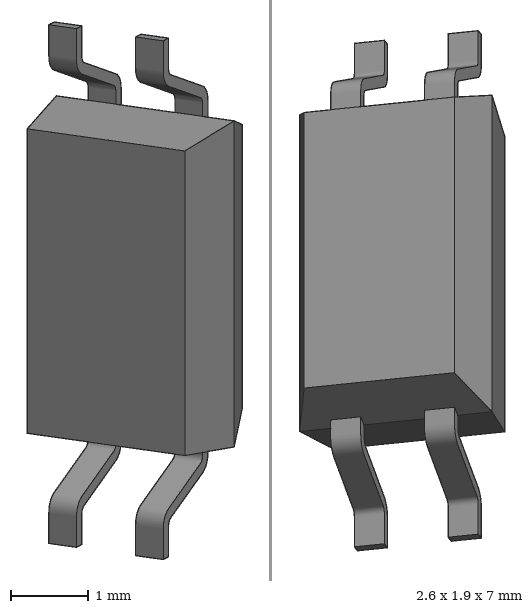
import cadquery as cq
import math

BODY_WIDTH = 2.6
BODY_DEPTH = 1.9
BODY_HEIGHT = 4.4
PARTING_Y = 1.11
FRONT_DRAFT = 7.5
REAR_DRAFT = 20.0

TIP_SPAN = 7.0
LEAD_WIDTH = 0.405
LEAD_PITCH = 1.27
LEAD_THICKNESS = 0.155
FOOT_LENGTH = 0.42
CORNER_DROP = 0.47
INNER_RADIUS = 0.1
OUTER_RADIUS = INNER_RADIUS + LEAD_THICKNESS
LEAD_EMBED = 0.35


def tapered_half(direction_y, depth, draft):
    """Half of the body, narrowing away from the parting plane along direction_y."""
    parting_plane = cq.Plane(
        origin=(0, PARTING_Y, 0), xDir=(1, 0, 0), normal=(0, direction_y, 0)
    )
    outline = cq.Workplane(parting_plane).rect(BODY_WIDTH, BODY_HEIGHT)
    return outline.extrude(depth, taper=draft)


def make_body():
    """Two tapered halves joined at the parting plane."""
    front = tapered_half(-1, PARTING_Y, FRONT_DRAFT)
    rear = tapered_half(1, BODY_DEPTH - PARTING_Y, REAR_DRAFT)
    return front.union(rear)


def make_lead(x_center):
    """Upper lead: a strip of constant thickness with two equal bends."""
    turn = math.atan2(PARTING_Y, CORNER_DROP)
    half_turn_tangent = math.tan(turn / 2)
    miter = LEAD_THICKNESS / 2 * half_turn_tangent
    mid_radius = INNER_RADIUS + LEAD_THICKNESS / 2

    tip_z = TIP_SPAN / 2
    foot_z = tip_z - FOOT_LENGTH - mid_radius * half_turn_tangent
    shoulder_z = foot_z - CORNER_DROP
    root_z = BODY_HEIGHT / 2 - LEAD_EMBED

    foot_front = 0
    foot_rear = LEAD_THICKNESS
    shoulder_front = PARTING_Y
    shoulder_rear = PARTING_Y + LEAD_THICKNESS

    strip = (
        cq.Workplane("YZ", origin=(x_center - LEAD_WIDTH / 2, 0, 0))
        .moveTo(foot_front, tip_z)
        .lineTo(foot_rear, tip_z)
        .lineTo(foot_rear, foot_z + miter)
        .lineTo(shoulder_rear, shoulder_z + miter)
        .lineTo(shoulder_rear, root_z)
        .lineTo(shoulder_front, root_z)
        .lineTo(shoulder_front, shoulder_z - miter)
        .lineTo(foot_front, foot_z - miter)
        .close()
        .extrude(LEAD_WIDTH)
    )
    inner_corners = [(foot_rear, foot_z + miter), (shoulder_front, shoulder_z - miter)]
    outer_corners = [(foot_front, foot_z - miter), (shoulder_rear, shoulder_z + miter)]
    for corners, radius in ((inner_corners, INNER_RADIUS), (outer_corners, OUTER_RADIUS)):
        for y, z in corners:
            corner_edge = cq.selectors.NearestToPointSelector((x_center, y, z))
            strip = strip.edges(corner_edge).fillet(radius)
    return strip


result = make_body()
for side in (-1, 1):
    upper_lead = make_lead(side * LEAD_PITCH / 2)
    lower_lead = upper_lead.mirror("XY")
    result = result.union(upper_lead).union(lower_lead)